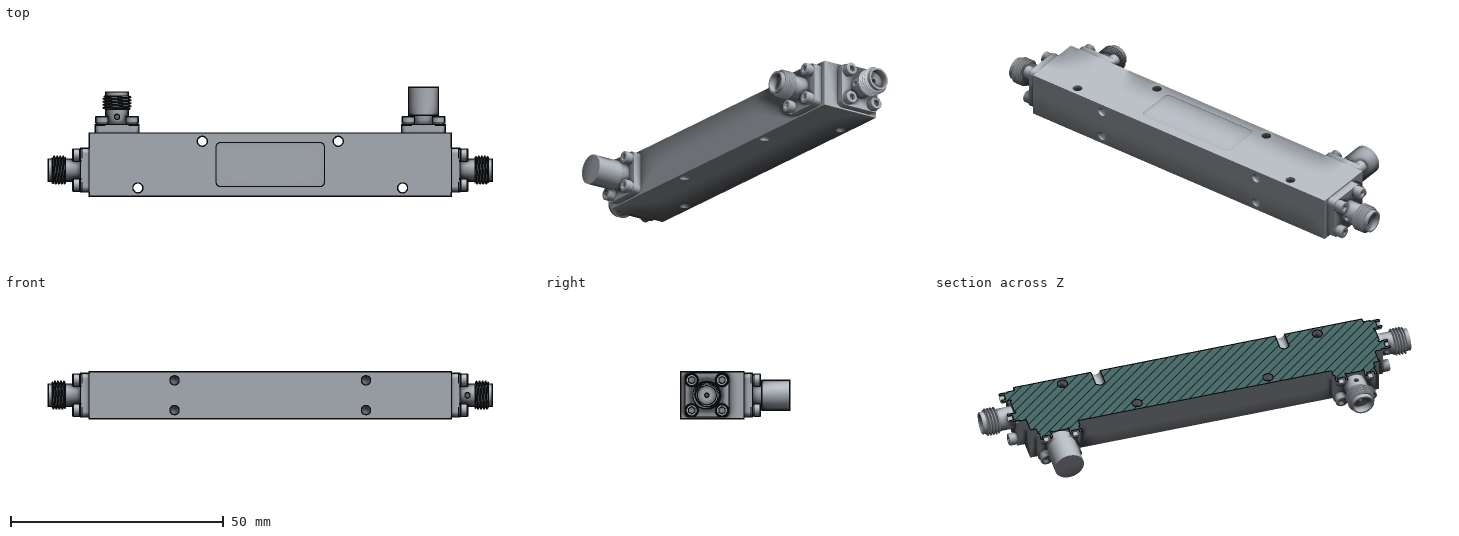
import cadquery as cq
import math

body_length = 85.1
body_width = 14.9
body_height = 11.1

mount_hole_dia = 2.3
mount_hole_inset = 2.0
front_mount_end_distance = 11.5
back_mount_end_distance = 26.6
front_mount_spacing = body_length - 2 * front_mount_end_distance
back_mount_spacing = body_length - 2 * back_mount_end_distance

front_hole_dia = 2.2
front_hole_depth = 4.2
front_hole_spacing_x = 45.0
front_hole_spacing_z = 7.0
drill_tip_angle = 118

label_length = 25.5
label_width = 10.3
label_radius = 1.0
label_depth = 0.1

end_port_front_distance = 6.2
back_port_end_distance = 6.6
end_port_y = end_port_front_distance - body_width / 2
back_port_x = body_length / 2 - back_port_end_distance

flange_side = 10.3
flange_thickness = 2.0
flange_corner_radius = 1.3
screw_spacing = 7.1
screw_head_dia = 2.9
screw_top_height = 1.9
screw_head_chamfer = 0.16
screw_collar_dia = 2.6
screw_collar_height = 0.3
screw_seat_dia = 3.1
screw_seat_depth = 0.3
socket_across_flats = 1.5
socket_depth = 1.0

connector_length = 9.6
barrel_dia = 5.3
thread_start = 5.5
thread_length = 3.1
thread_dia = 6.6
thread_root_dia = 5.1
thread_pitch = 0.71
thread_end_chamfer = 0.3
thread_crest_flat = 0.1
groove_overshoot = 0.1
bore_dia = 4.5
bore_depth = 2.0
contact_hole_dia = 1.01
contact_hole_depth = 1.6
side_hole_dia = 1.3
side_hole_depth = 1.0
side_hole_height = 3.8

load_length = 10.7
load_cap_start = 4.1
load_cap_dia = 7.1
load_neck_dia = 6.6
load_cap_chamfer = 0.1


def cylinder(diameter, start, end):
    """Cylinder along Z between two heights."""
    return cq.Workplane("XY").workplane(offset=start).circle(diameter / 2).extrude(end - start)


def housing():
    block = cq.Workplane("XY").box(body_length, body_width, body_height)
    top = block.faces(">Z").workplane(origin=(0, 0, 0))
    mount_y = body_width / 2 - mount_hole_inset
    mount_points = []
    for spacing, y in ((front_mount_spacing, -mount_y), (back_mount_spacing, mount_y)):
        mount_points += [(-spacing / 2, y), (spacing / 2, y)]
    block = top.pushPoints(mount_points).hole(mount_hole_dia)

    label = (
        cq.Workplane("XY")
        .workplane(offset=body_height / 2 - label_depth)
        .rect(label_length, label_width)
        .extrude(label_depth)
        .edges("|Z")
        .fillet(label_radius)
    )
    return block.cut(label)


def front_drill():
    """Drill shape pointing along +Y from the front face, with a conical tip."""
    radius = front_hole_dia / 2
    tip_y = front_hole_depth + radius / math.tan(math.radians(drill_tip_angle / 2))
    return (
        cq.Workplane("XY")
        .polyline([(0, 0), (radius, 0), (radius, front_hole_depth), (0, tip_y)])
        .close()
        .revolve(360, (0, 0, 0), (0, 1, 0))
        .translate((0, -body_width / 2, 0))
    )


def collared_screw():
    screw_top = flange_thickness + screw_top_height
    head_start = flange_thickness + screw_collar_height
    head = cylinder(screw_head_dia, head_start, screw_top).faces(">Z").chamfer(screw_head_chamfer)
    collar = cylinder(screw_collar_dia, flange_thickness - screw_seat_depth, head_start)
    screw = head.union(collar)
    socket_across_corners = socket_across_flats / math.cos(math.pi / 6)
    return screw.faces(">Z").workplane().polygon(6, socket_across_corners).cutBlind(-socket_depth)


def screwed_flange():
    flange = (
        cq.Workplane("XY")
        .rect(flange_side, flange_side)
        .extrude(flange_thickness)
        .edges("|Z")
        .fillet(flange_corner_radius)
    )
    screw = collared_screw()
    seat = cylinder(screw_seat_dia, flange_thickness - screw_seat_depth, flange_thickness)
    half = screw_spacing / 2
    for x in (-half, half):
        for y in (-half, half):
            position = (x, y, 0)
            flange = flange.cut(seat.translate(position)).union(screw.translate(position))
    return flange


def thread_sleeve():
    """Ring with a helical V groove cut into its outside."""
    thread_end = thread_start + thread_length
    blank = cylinder(thread_dia, thread_start, thread_end)
    chamfered_envelope = blank.edges().chamfer(thread_end_chamfer)
    root_radius = thread_root_dia / 2
    crest_radius = thread_dia / 2
    groove_depth = crest_radius - root_radius
    half_mouth = (thread_pitch - thread_crest_flat) / 2
    outer_radius = crest_radius + groove_overshoot
    half_outer = half_mouth * (groove_depth + groove_overshoot) / groove_depth
    groove_start = thread_start - thread_pitch
    path = cq.Wire.makeHelix(thread_pitch, thread_length + 2 * thread_pitch, root_radius)
    groove = (
        cq.Workplane("XZ")
        .polyline([(root_radius, 0), (outer_radius, half_outer), (outer_radius, -half_outer)])
        .close()
        .sweep(cq.Workplane(path), isFrenet=True)
        .translate((0, 0, groove_start))
    )
    return blank.cut(groove).intersect(chamfered_envelope)


def connector():
    """Flanged connector along +Z, with its side hole facing +Y."""
    thread_end = thread_start + thread_length
    body = (
        screwed_flange()
        .union(cylinder(barrel_dia, 0, thread_start))
        .union(thread_sleeve())
        .union(cylinder(barrel_dia, thread_end, connector_length))
    )
    floor = connector_length - bore_depth
    side_hole = (
        cq.Workplane("XZ", origin=(0, barrel_dia / 2, side_hole_height))
        .circle(side_hole_dia / 2)
        .extrude(side_hole_depth)
    )
    return (
        body.cut(cylinder(bore_dia, floor, connector_length))
        .cut(cylinder(contact_hole_dia, floor - contact_hole_depth, floor))
        .cut(side_hole)
    )


def termination():
    cap = cylinder(load_cap_dia, load_cap_start, load_length).faces("<Z").chamfer(load_cap_chamfer)
    neck = cylinder(load_neck_dia, 0, load_cap_start)
    return screwed_flange().union(neck).union(cap)


def on_back(port, x):
    """Turn a port from +Z to +Y and seat it on the back face; its +Y side then faces +Z."""
    turned = port.rotate((0, 0, 0), (0, 0, 1), 180).rotate((0, 0, 0), (1, 0, 0), -90)
    return turned.translate((x, body_width / 2, 0))


def on_right_end(port):
    """Turn a port from +Z to +X and seat it on the right end; its +Y side then faces -Y."""
    turned = port.rotate((0, 0, 0), (0, 0, 1), 180).rotate((0, 0, 0), (0, 1, 0), 90)
    return turned.translate((body_length / 2, end_port_y, 0))


def on_left_end(port):
    """Seat a port on the left end; its +Y side then stays facing +Y."""
    turned = port.rotate((0, 0, 0), (0, 1, 0), -90)
    return turned.translate((-body_length / 2, end_port_y, 0))


drilled_body = housing()
for x in (-front_hole_spacing_x / 2, front_hole_spacing_x / 2):
    for z in (-front_hole_spacing_z / 2, front_hole_spacing_z / 2):
        drilled_body = drilled_body.cut(front_drill().translate((x, 0, z)))

coax = connector()
result = (
    drilled_body.union(on_left_end(coax))
    .union(on_right_end(coax))
    .union(on_back(coax, -back_port_x))
    .union(on_back(termination(), back_port_x))
)